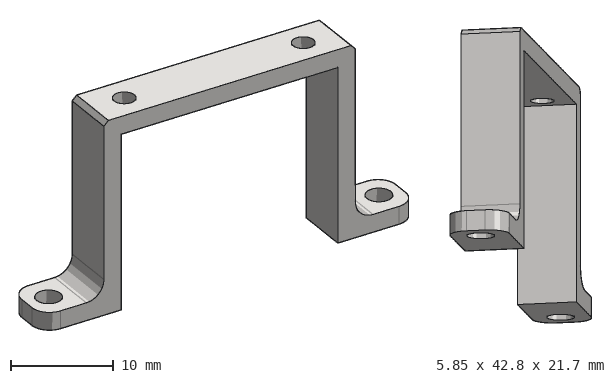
import cadquery as cq

length = 42.8
width = 5.85
height = 21.7

wall = 2.0
bridge_length = 28.8
top_chamfer = 0.5
root_fillet = 2.0
foot_corner_radius = 2.0

foot_hole_diameter = 2.7
foot_hole_spacing = 37.85
top_hole_diameter = 2.3
top_hole_spacing = 20.5

half_length = length / 2
half_bridge = bridge_length / 2
half_opening = half_bridge - wall


def bracket_profile():
    """Hat-shaped strip in the YZ plane, extruded symmetrically along X."""
    outline = [
        (-half_length, 0),
        (-half_opening, 0),
        (-half_opening, height - wall),
        (half_opening, height - wall),
        (half_opening, 0),
        (half_length, 0),
        (half_length, wall),
        (half_bridge, wall),
        (half_bridge, height),
        (-half_bridge, height),
        (-half_bridge, wall),
        (-half_length, wall),
    ]
    return cq.Workplane("YZ").polyline(outline).close().extrude(width / 2, both=True)


def edges_at(body, y, z):
    """The two edges along X nearest to the given height z, one at +y and one at -y."""
    right_edge = body.edges("|X").edges(cq.selectors.NearestToPointSelector((0, y, z)))
    left_edge = body.edges("|X").edges(cq.selectors.NearestToPointSelector((0, -y, z)))
    return right_edge.add(left_edge)


def drill_pair(body, diameter, spacing):
    """Two vertical through holes placed symmetrically along Y."""
    drills = (
        cq.Workplane("XY")
        .pushPoints([(0, -spacing / 2), (0, spacing / 2)])
        .circle(diameter / 2)
        .extrude(height)
    )
    return body.cut(drills)


bracket = bracket_profile()

bracket = edges_at(bracket, half_bridge, height).chamfer(top_chamfer)
bracket = edges_at(bracket, half_bridge, wall).fillet(root_fillet)

bracket = bracket.faces("<Y or >Y").edges("|Z").fillet(foot_corner_radius)

bracket = drill_pair(bracket, foot_hole_diameter, foot_hole_spacing)
bracket = drill_pair(bracket, top_hole_diameter, top_hole_spacing)

result = bracket